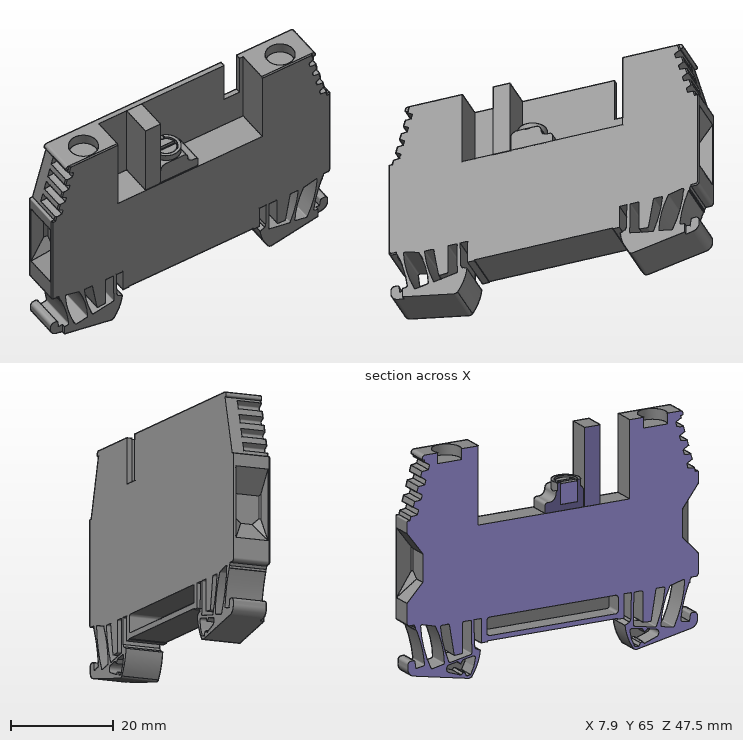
import cadquery as cq
length = 65.0
thickness = 7.9
height = 47.45
half_length = length / 2

body_bottom_z = 11.8
end_bottom_z = 12.9
end_bottom_y = 30.6
ledge_z = 34.5
slant_base_y = 31.85
slant_top_y = 28.3
ledge_round = 0.25
end_round = 0.65
edge_chamfer = 0.25
bead_size = 1.05
bead_y_max = 29.1
bead_top_round = 0.7
bead_bottom_round = 0.25

wall = 1.1
recess_y_min = -17.1
recess_y_max = 16.6
recess_floor_z = 31.2
slot_y_min = 12.15
slot_y_max = 15.7
slot_bottom_z = 38.15

hole_diameter = 5.85
hole_depth = 2.2
hole_x = 4.55
hole_y = 22.95

groove_count = 4
groove_pitch = 2.96
groove_top_z = 45.95
groove_height = 1.75
groove_depth = 1.4
groove_roof_drop = 0.7
groove_floor_width = 0.7
groove_floor_rise = 0.1
groove_round = 0.25
groove_x = 2.6

funnel_x_min = 0.5
funnel_x_max = 7.4
funnel_depth = 3.5
funnel_mouth_top_z = 31.9
funnel_mouth_bottom_z = 17.6
funnel_back_top_z = 27.25
funnel_back_bottom_z = 21.4
funnel_left_bevel = 0.6
funnel_right_bevel = 0.25
funnel_left_flat = 2.65
funnel_right_flat = 1.75
funnel_left_rise = 2.3
funnel_right_rise = 1.55

bridge_half = 15.9
bridge_bottom_z = 7.0
bridge_pad_width = 1.4
bridge_pad_height = 0.2
bridge_pocket_half = 14.55
bridge_pocket_bottom_z = 8.1
pocket_depth = 6.8
pocket_round = 0.5
window_round = 0.25
hook_end_x = 7.15
hook_start_y = 29.6

carrier_x_min = 1.3
carrier_x_max = 7.7
handle_y_min = -10.6
handle_y_max = -7.1
handle_x_max = 7.8

carrier_top_z = 35.75
carrier_y_min = -6.95
carrier_y_max = 1.75
carrier_rear_radius = 1.3
carrier_flat_end_y = -1.7
carrier_crest_radius = 1.05
carrier_hollow_radius = 1.35
carrier_nose_radius = 0.6

screw_x = 4.55
screw_y = -3.65
collar_diameter = 5.85
collar_top_z = 37.05
screw_diameter = 4.55
screw_bottom_z = 32.5
screw_top_z = 36.8
screw_chamfer = 0.2
screw_slot_width = 0.8
screw_slot_depth = 0.65
notch_y = -3.4
notch_width = 1.4
notch_drop = 0.65
notch_run = 0.8

DIAGONAL = 0.5 ** 0.5


def box(x_range, y_range, z_range):
    """Axis-aligned box between the given limits."""
    size = [limits[1] - limits[0] for limits in (x_range, y_range, z_range)]
    corner = (x_range[0], y_range[0], z_range[0])
    return cq.Workplane("XY").box(*size, centered=False).translate(corner)


def profile(points, x_start=0.0, x_end=thickness):
    """Closed polygon of (y, z) points, extruded along X."""
    sketch = cq.Workplane("YZ", origin=(x_start, 0, 0)).polyline(points).close()
    return sketch.extrude(x_end - x_start)


def both_ends(shape):
    """The shape at the +Y end together with its mirror image at the -Y end."""
    return shape.union(shape.mirror("XZ"))


def tetrahedron(points):
    """Solid with the four given corners."""
    faces = []
    for skipped in range(4):
        corners = [cq.Vector(*p) for i, p in enumerate(points) if i != skipped]
        faces.append(cq.Face.makeFromWires(cq.Wire.makePolygon(corners, close=True)))
    return cq.Workplane(cq.Solid.makeSolid(cq.Shell.makeShell(faces)))


def slant_y(z):
    """Y of the tower slant at height z."""
    rise = (z - ledge_z) / (height - ledge_z)
    return slant_base_y + (slant_top_y - slant_base_y) * rise


def body():
    half_outline = [
        (end_bottom_y, body_bottom_z),
        (end_bottom_y, end_bottom_z),
        (half_length, end_bottom_z),
        (half_length, ledge_z),
        (slant_base_y, ledge_z),
        (slant_top_y, height),
    ]
    mirrored = [(-y, z) for y, z in reversed(half_outline)]
    block = profile(half_outline + mirrored)
    for side in (-half_length, half_length):
        for z, radius in ((end_bottom_z, end_round), (ledge_z, ledge_round)):
            corner = cq.selectors.NearestToPointSelector((thickness / 2, side, z))
            block = block.edges(corner).fillet(radius)
    upper_rim = cq.selectors.BoxSelector(
        (thickness - 0.05, -length, end_bottom_z + end_round),
        (thickness + 0.05, length, height + 0.65),
    )
    block = block.edges(upper_rim).chamfer(edge_chamfer)
    bead = box(
        (0, thickness - edge_chamfer),
        (bead_y_max - bead_size, bead_y_max),
        (height - bead_size, height),
    )
    bead = bead.edges("|X and >Y and >Z").fillet(bead_top_round)
    bead = bead.edges("|X and >Y and <Z").fillet(bead_bottom_round)
    return block.union(both_ends(bead))


def grip_grooves():
    grooves = cq.Workplane("XY")
    for i in range(groove_count):
        top = groove_top_z - i * groove_pitch
        bottom = top - groove_height
        roof = top - groove_roof_drop
        groove = profile(
            [
                (half_length, top),
                (slant_y(top), top),
                (slant_y(roof) - groove_depth, roof),
                (slant_y(bottom) - groove_depth, bottom + groove_floor_rise),
                (slant_y(bottom) - groove_floor_width, bottom),
                (half_length, bottom),
            ],
            x_start=groove_x,
        )
        roof_corner = cq.selectors.NearestToPointSelector((thickness, slant_y(roof) - groove_depth, roof))
        grooves = grooves.add(groove.edges("|X").edges(roof_corner).fillet(groove_round))
    return grooves.combine()


def wire_funnel():
    back_y = half_length - funnel_depth
    side = profile(
        [
            (half_length, funnel_mouth_bottom_z),
            (half_length, funnel_mouth_top_z),
            (back_y, funnel_back_top_z),
            (back_y, funnel_back_bottom_z),
        ],
        funnel_x_min,
        funnel_x_max,
    )
    plan = (
        cq.Workplane("XY")
        .polyline([
            (funnel_x_min, half_length),
            (funnel_x_min, back_y + funnel_left_bevel),
            (funnel_x_min + funnel_left_bevel, back_y),
            (funnel_x_max - funnel_right_bevel, back_y),
            (funnel_x_max, back_y + funnel_right_bevel),
            (funnel_x_max, half_length),
        ])
        .close()
        .extrude(height)
    )
    funnel = side.intersect(plan)
    lower_corners = (
        (funnel_x_min, funnel_left_flat, funnel_left_rise),
        (funnel_x_max, -funnel_right_flat, funnel_right_rise),
    )
    for x, width, rise in lower_corners:
        filling = tetrahedron([
            (x, half_length, funnel_mouth_bottom_z),
            (x, back_y, funnel_back_bottom_z),
            (x + width, back_y, funnel_back_bottom_z),
            (x, back_y, funnel_back_bottom_z + rise),
        ])
        funnel = funnel.cut(filling)
    return funnel


def tower_hole():
    top = cq.Workplane("XY", origin=(hole_x, hole_y, height))
    return top.circle(hole_diameter / 2).extrude(-hole_depth)


def foot():
    """Solid outline of one snap foot, reaching up into the body."""
    return (
        cq.Workplane("YZ")
        .moveTo(30.9, end_bottom_z)
        .threePointArc((29.4, 8.8), (28.6, 4.6))
        .threePointArc((28.65, 4.35), (28.9, 4.2))
        .lineTo(30.4, 3.95)
        .lineTo(30.6, 5.2)
        .threePointArc((30.75, 5.5), (31.0, 5.65))
        .lineTo(31.5, 5.65)
        .threePointArc((32.05, 5.45), (32.3, 4.95))
        .lineTo(32.3, 4.3)
        .threePointArc((32.0, 3.05), (31.0, 2.4))
        .lineTo(18.8, 0)
        .threePointArc((18.3, 0.05), (18.0, 0.25))
        .threePointArc((16.8, 2.55), (16.05, 5.4))
        .lineTo(17.1, 5.9)
        .lineTo(17.35, 6.45)
        .lineTo(17.5, body_bottom_z)
        .lineTo(17.5, end_bottom_z + 0.65)
        .lineTo(30.9, end_bottom_z + 0.65)
        .close()
        .extrude(thickness)
    )


def outer_window():
    """Slanted opening between the two outer webs of the foot."""
    window = (
        cq.Workplane("YZ")
        .moveTo(29.4, 12.75)
        .threePointArc((28.6, 7.7), (27.0, 3.3))
        .lineTo(24.2, 3.9)
        .threePointArc((24.75, 8.1), (26.2, 11.9))
        .close()
        .extrude(thickness)
    )
    return window.edges("|X").fillet(window_round)


def inner_window():
    """U-shaped opening around the tongue that hangs from the body."""
    window = (
        cq.Workplane("YZ")
        .moveTo(24.95, body_bottom_z)
        .threePointArc((24.3, 7.85), (23.0, 3.95))
        .lineTo(18.1, 4.95)
        .lineTo(18.15, body_bottom_z)
        .lineTo(20.0, body_bottom_z)
        .lineTo(20.0, 5.3)
        .lineTo(22.0, 5.2)
        .lineTo(23.1, body_bottom_z)
        .close()
        .extrude(thickness)
    )
    return window.edges("|X").fillet(window_round)


def foot_pocket():
    """Blind pocket in the toe, with a small rib at its top and bottom."""
    return (
        cq.Workplane("YZ")
        .moveTo(23.15, 3.45)
        .lineTo(21.2, 3.85)
        .lineTo(20.5, 3.25)
        .lineTo(19.95, 4.0)
        .lineTo(17.75, 4.4)
        .threePointArc((17.35, 4.3), (17.3, 3.9))
        .lineTo(17.6, 2.35)
        .lineTo(18.3, 0.8)
        .lineTo(19.1, 0.65)
        .lineTo(19.5, 1.3)
        .lineTo(20.0, 1.5)
        .lineTo(20.4, 1.05)
        .lineTo(23.0, 1.95)
        .threePointArc((23.6, 2.8), (23.15, 3.45))
        .close()
        .extrude(pocket_depth)
    )


def rail_bridge():
    bridge = box((0, thickness), (-bridge_half, bridge_half), (bridge_bottom_z, end_bottom_z))
    pad = box(
        (0, thickness),
        (bridge_half - bridge_pad_width, bridge_half),
        (bridge_bottom_z - bridge_pad_height, bridge_bottom_z),
    )
    pocket = box(
        (0, pocket_depth),
        (-bridge_pocket_half, bridge_pocket_half),
        (bridge_pocket_bottom_z, body_bottom_z),
    )
    return bridge.union(both_ends(pad)), pocket.edges("|X").fillet(pocket_round)


def make_housing():
    bridge, bridge_pocket = rail_bridge()
    housing = body().union(both_ends(foot())).union(bridge).cut(bridge_pocket)
    hook_relief = box((hook_end_x, thickness), (hook_start_y, half_length), (0, 6.5))
    end_cuts = (
        grip_grooves(),
        wire_funnel(),
        tower_hole(),
        outer_window(),
        inner_window(),
        foot_pocket(),
        hook_relief,
    )
    for cutter in end_cuts:
        housing = housing.cut(cutter).cut(cutter.mirror("XZ"))
    recess = box((wall, thickness), (recess_y_min, recess_y_max), (recess_floor_z, height))
    wall_slot = box((0, wall), (slot_y_min, slot_y_max), (slot_bottom_z, height))
    return housing.cut(recess).cut(wall_slot)


def make_handle():
    return box((wall, handle_x_max), (handle_y_min, handle_y_max), (recess_floor_z, height))


def make_carrier():
    rear = carrier_rear_radius
    crest = carrier_crest_radius
    hollow = carrier_hollow_radius
    nose = carrier_nose_radius
    crest_y = carrier_flat_end_y + crest
    crest_z = carrier_top_z - crest
    hollow_y = crest_y + hollow
    low_z = crest_z - hollow
    nose_y = carrier_y_max - nose
    carrier = (
        cq.Workplane("YZ", origin=(carrier_x_min, 0, 0))
        .moveTo(carrier_y_min, recess_floor_z)
        .lineTo(carrier_y_min, carrier_top_z - rear)
        .threePointArc(
            (carrier_y_min + rear * (1 - DIAGONAL), carrier_top_z - rear * (1 - DIAGONAL)),
            (carrier_y_min + rear, carrier_top_z),
        )
        .lineTo(carrier_flat_end_y, carrier_top_z)
        .threePointArc(
            (carrier_flat_end_y + crest * DIAGONAL, crest_z + crest * DIAGONAL),
            (crest_y, crest_z),
        )
        .threePointArc(
            (hollow_y - hollow * DIAGONAL, crest_z - hollow * DIAGONAL),
            (hollow_y, low_z),
        )
        .lineTo(nose_y, low_z)
        .threePointArc(
            (nose_y + nose * DIAGONAL, low_z - nose * (1 - DIAGONAL)),
            (carrier_y_max, low_z - nose),
        )
        .lineTo(carrier_y_max, recess_floor_z)
        .close()
        .extrude(carrier_x_max - carrier_x_min)
    )
    axis = cq.Workplane("XY", origin=(screw_x, screw_y, recess_floor_z))
    collar = axis.circle(collar_diameter / 2).extrude(collar_top_z - recess_floor_z)
    bore = (
        cq.Workplane("XY", origin=(screw_x, screw_y, screw_bottom_z))
        .circle(screw_diameter / 2)
        .extrude(collar_top_z - screw_bottom_z)
    )
    notch_x = screw_x - collar_diameter / 2
    notch = (
        cq.Workplane("XZ", origin=(0, notch_y + notch_width / 2, 0))
        .polyline([
            (notch_x, collar_top_z),
            (notch_x + notch_run, collar_top_z - notch_drop),
            (notch_x + notch_run, collar_top_z),
        ])
        .close()
        .extrude(notch_width)
    )
    return carrier.union(collar).cut(bore).cut(notch)


def make_screw():
    screw = (
        cq.Workplane("XY", origin=(screw_x, screw_y, screw_bottom_z))
        .circle(screw_diameter / 2)
        .extrude(screw_top_z - screw_bottom_z)
        .faces(">Z")
        .chamfer(screw_chamfer)
    )
    slot = box(
        (screw_x - screw_slot_width / 2, screw_x + screw_slot_width / 2),
        (screw_y - screw_diameter / 2, screw_y + screw_diameter / 2),
        (screw_top_z - screw_slot_depth, screw_top_z),
    )
    return screw.cut(slot)


housing = make_housing()
handle = make_handle()
carrier = make_carrier()
screw = make_screw()

result = cq.Compound.makeCompound([housing.val(), handle.val(), carrier.val(), screw.val()])